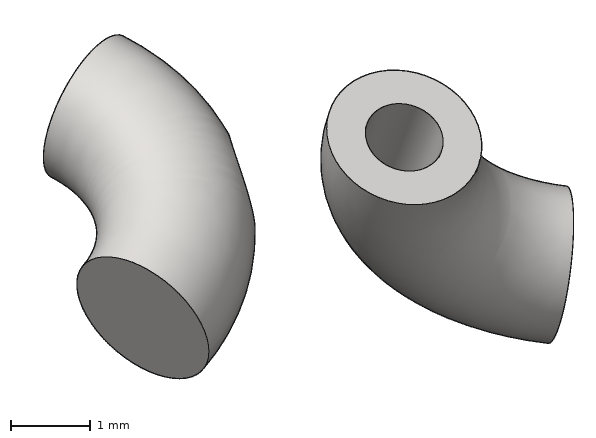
import cadquery as cq

outer_radius = 3.5
bar_diameter = 2.0
hole_diameter = 1.0
bend_angle = 90.0

bend_radius = outer_radius - bar_diameter / 2


def make_elbow():
    """Solid round bar bent about the Z axis, from the +X axis to the +Y axis."""
    return (
        cq.Workplane("XZ")
        .center(bend_radius, 0)
        .circle(bar_diameter / 2)
        .revolve(bend_angle, (-bend_radius, 0), (-bend_radius, 1))
    )


def make_hole():
    """Straight bore along X, centred on the end face at X = 0."""
    return (
        cq.Workplane("YZ")
        .center(bend_radius, 0)
        .circle(hole_diameter / 2)
        .extrude(outer_radius)
    )


result = make_elbow().cut(make_hole())